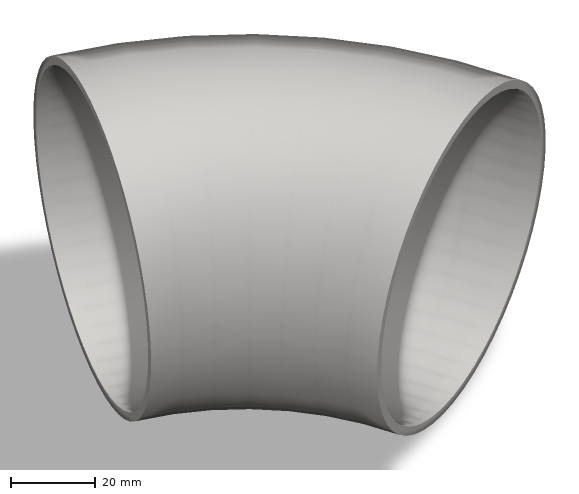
import cadquery as cq
import math

bend_angle = 45.0
outer_diameter = 88.9
wall = 2.2
overall_length = 112.4

outer_radius = outer_diameter / 2
inner_radius = outer_radius - wall
bend_radius = overall_length / math.sin(math.radians(bend_angle)) - outer_radius


def make_elbow():
    """Sweep the pipe ring about a Z-parallel axis offset from the pipe centre."""
    ring = cq.Workplane("XZ").circle(outer_radius).circle(inner_radius)
    axis_start = (bend_radius, 0, 0)
    axis_end = (bend_radius, -1, 0)
    return ring.revolve(bend_angle, axis_start, axis_end)


result = make_elbow()